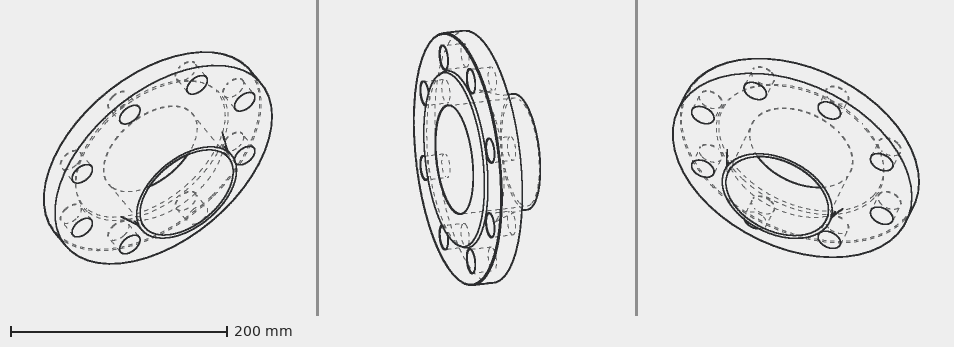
import cadquery as cq

total_length = 65.0
flange_diameter = 235.0
flange_back = 24.0
flange_edge_chamfer = 1.0

raised_face_height = 3.0
raised_face_diameter = 162.2
raised_face_base_diameter = 164.7

bore_diameter = 100.8
weld_end_diameter = 108.0
weld_end_length = 12.2
hub_base_diameter = 128.0
hub_fillet = 7.5

bolt_count = 8
bolt_hole_diameter = 22.0
bolt_circle_diameter = 190.0

hole_chamfer = 0.5


def make_body():
    """Revolve the solid outer outline, given as (X, radius) points."""
    flange_radius = flange_diameter / 2
    weld_end_radius = weld_end_diameter / 2
    return (
        cq.Workplane("XY")
        .moveTo(0, 0)
        .lineTo(0, raised_face_diameter / 2)
        .lineTo(raised_face_height, raised_face_base_diameter / 2)
        .lineTo(raised_face_height, flange_radius - flange_edge_chamfer)
        .lineTo(raised_face_height + flange_edge_chamfer, flange_radius)
        .lineTo(flange_back, flange_radius)
        .lineTo(flange_back, hub_base_diameter / 2)
        .lineTo(total_length - weld_end_length, weld_end_radius)
        .lineTo(total_length, weld_end_radius)
        .lineTo(total_length, 0)
        .close()
        .revolve(360, (0, 0, 0), (1, 0, 0))
    )


def round_hub(body):
    """Blend both ends of the conical hub into the flange and the weld end."""
    return body.faces("%CONE").faces(">X").edges("%CIRCLE").fillet(hub_fillet)


def hole_cutter(diameter, start, end):
    """Return a drill along X from start to end, flared by the chamfer at its start."""
    radius = diameter / 2
    return (
        cq.Workplane("XY")
        .moveTo(start, 0)
        .lineTo(start, radius + hole_chamfer)
        .lineTo(start + hole_chamfer, radius)
        .lineTo(end, radius)
        .lineTo(end, 0)
        .close()
        .revolve(360, (0, 0, 0), (1, 0, 0))
    )


def cut_bore(body):
    return body.cut(hole_cutter(bore_diameter, 0, total_length))


def cut_bolt_holes(body):
    """Drill the bolt circle, with the holes straddling the Y and Z axes."""
    pitch = 360 / bolt_count
    drill = hole_cutter(bolt_hole_diameter, raised_face_height, flange_back)
    drill = drill.translate((0, bolt_circle_diameter / 2, 0))
    for index in range(bolt_count):
        angle = (index + 0.5) * pitch
        body = body.cut(drill.rotate((0, 0, 0), (1, 0, 0), angle))
    return body


body = round_hub(make_body())
result = cut_bolt_holes(cut_bore(body))